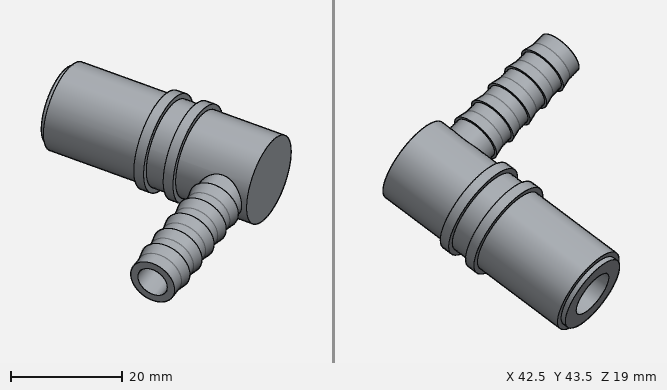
import cadquery as cq

barrel_length = 42.5
barrel_diameter = 17.0
nose_length = 1.0
nose_diameter = 15.0

tail_x = 37.0
tail_end_y = -34.0
tail_diameter = 9.0

barb_count = 5
barb_diameter = 10.0
barb_length = 2.3
barb_pitch = 2 * barb_length
first_barb_y = -10.7

passage_diameter = 6.0
socket_diameter = 9.0
socket_depth = 20.0

ring_diameter = 19.0
ring_width = 2.0
first_ring_x = 20.0
ring_pitch = 6.0
ring_count = 2


def x_cylinder(diameter, start_x, length):
    """Cylinder on the barrel axis."""
    return cq.Workplane("YZ", origin=(start_x, 0, 0)).circle(diameter / 2).extrude(length)


def make_barb(start_y):
    """Cone with its sharp edge towards the barrel, tapering down to the tail towards the free end."""
    return (
        cq.Workplane("XZ", origin=(tail_x, start_y, 0))
        .circle(barb_diameter / 2)
        .workplane(offset=barb_length)
        .circle(tail_diameter / 2)
        .loft()
    )


def make_passage():
    """Round passage turning a mitred corner from the barrel axis to the tail axis."""
    path = cq.Workplane("XY").moveTo(0, 0).lineTo(tail_x, 0).lineTo(tail_x, tail_end_y)
    return cq.Workplane("YZ").circle(passage_diameter / 2).sweep(path, transition="right")


def make_elbow():
    """Barrel with a stepped nose and a barbed hose tail, bored through."""
    nose = x_cylinder(nose_diameter, 0, nose_length)
    barrel = x_cylinder(barrel_diameter, nose_length, barrel_length - nose_length)
    tail = cq.Workplane("XZ", origin=(tail_x, 0, 0)).circle(tail_diameter / 2).extrude(-tail_end_y)
    elbow = barrel.union(nose).union(tail)
    for index in range(barb_count):
        elbow = elbow.union(make_barb(first_barb_y - index * barb_pitch))
    socket = x_cylinder(socket_diameter, 0, socket_depth)
    return elbow.cut(make_passage()).cut(socket)


def make_seal_ring(start_x):
    """Flat-section ring fitting closely around the barrel."""
    blank = x_cylinder(ring_diameter, start_x, ring_width)
    return blank.cut(x_cylinder(barrel_diameter, start_x, ring_width))


elbow = make_elbow()
seal_rings = [make_seal_ring(first_ring_x + index * ring_pitch) for index in range(ring_count)]

result = cq.Compound.makeCompound([elbow.val(), *[ring.val() for ring in seal_rings]])